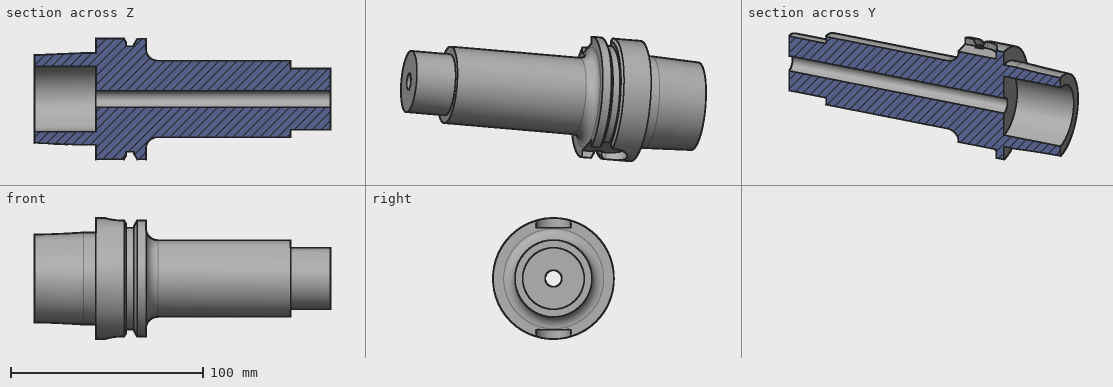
import cadquery as cq
import math


shank_length = 32.0
shank_end_radius = 22.9
shank_root_radius = 24.0
shank_straight_length = 6.5
bore_radius = 17.0
bore_depth = shank_length

flange_radius = 31.5
flange_width = 26.0
groove_center = 18.0
groove_mouth_width = 6.8
groove_flank_angle = math.radians(30)
groove_start = groove_center - groove_mouth_width / 2
groove_end = groove_center + groove_mouth_width / 2
groove_floor_radius = 27.5
groove_floor_start = 15.7
groove_floor_width = 4.0
groove_floor_end = groove_floor_start + groove_floor_width
groove_start_flank_radius = flange_radius - (groove_floor_start - groove_start) / math.tan(groove_flank_angle)
groove_end_flank_radius = flange_radius - (groove_end - groove_floor_end) / math.tan(groove_flank_angle)

body_radius = 20.0
body_end = 101.1
neck_fillet_radius = 6.0
pilot_radius = 16.0
overall_length = 153.9
pilot_end = overall_length - shank_length

keyway_width = 18.0
keyway_start = 4.6
keyway_floor_height = 26.5

coolant_hole_radius = 4.25


def make_turned_body():
    """Revolve the outer profile of the whole arbor about the X axis."""
    neck_root_radius = body_radius + neck_fillet_radius
    neck_end = flange_width + neck_fillet_radius
    neck_middle = (
        neck_end - neck_fillet_radius * math.sin(math.pi / 4),
        neck_root_radius - neck_fillet_radius * math.cos(math.pi / 4),
    )
    profile = (
        cq.Workplane("XY")
        .moveTo(-shank_length, 0)
        .lineTo(-shank_length, shank_end_radius)
        .lineTo(-shank_straight_length, shank_root_radius)
        .lineTo(0, shank_root_radius)
        .lineTo(0, flange_radius)
        .lineTo(groove_start, flange_radius)
        .lineTo(groove_floor_start, groove_start_flank_radius)
        .lineTo(groove_floor_start, groove_floor_radius)
        .lineTo(groove_floor_end, groove_floor_radius)
        .lineTo(groove_floor_end, groove_end_flank_radius)
        .lineTo(groove_end, flange_radius)
        .lineTo(flange_width, flange_radius)
        .lineTo(flange_width, neck_root_radius)
        .threePointArc(neck_middle, (neck_end, body_radius))
        .lineTo(body_end, body_radius)
        .lineTo(body_end, pilot_radius)
        .lineTo(pilot_end, pilot_radius)
        .lineTo(pilot_end, 0)
        .close()
    )
    return profile.revolve(360, (0, 0, 0), (1, 0, 0))


def make_bores():
    """Shank bore plus the coolant hole that runs through to the pilot end."""
    shank_face = cq.Workplane("YZ", origin=(-shank_length, 0, 0))
    shank_bore = shank_face.circle(bore_radius).extrude(bore_depth)
    coolant_hole = shank_face.circle(coolant_hole_radius).extrude(overall_length)
    return shank_bore.union(coolant_hole)


def make_keyway():
    """Round-ended keyway above the axis, open at the back of the flange."""
    end_radius = keyway_width / 2
    end_center = keyway_start + end_radius
    return (
        cq.Workplane("XY", origin=(0, 0, keyway_floor_height))
        .moveTo(flange_width, end_radius)
        .lineTo(end_center, end_radius)
        .threePointArc((keyway_start, 0), (end_center, -end_radius))
        .lineTo(flange_width, -end_radius)
        .close()
        .extrude(flange_radius - keyway_floor_height)
    )


upper_keyway = make_keyway()
lower_keyway = upper_keyway.mirror("XY")

result = make_turned_body().cut(make_bores()).cut(upper_keyway).cut(lower_keyway)